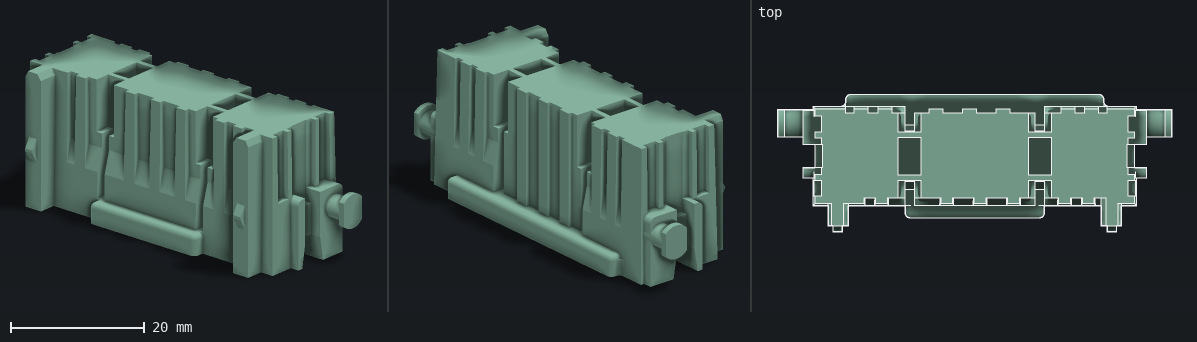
import cadquery as cq

HEIGHT = 22.0
BASE_HALF_X = 24.25
TOP_HALF_X = 23.92
BASE_HALF_Y = 7.46
TOP_HALF_Y = 7.07
CLEAR = 2.0

FRONT_TEETH = (-17.45, -13.95, -4.2, 0.8, 5.8, 13.45, 17.0)
REAR_TEETH = tuple(-centre for centre in reversed(FRONT_TEETH))
TOOTH_BASE_WIDTH = 2.1
FRONT_TOOTH_TOP_WIDTH = 1.77
FRONT_RECESS_Y = 6.28
REAR_RECESS_Y = 6.49
RECESS_RAMP_TOP_Z = 11.25
RECESS_RAMP_FOOT_Z = 7.65
FRONT_RECESS_END_X = 19.7
REAR_RECESS_START_X = -19.35
REAR_RECESS_END_X = 19.8

POCKET_X = 9.77
POCKET_WIDTH = 3.4
POCKET_FLOOR_Z = 13.55
OUTER_POCKET_Y = 3.64
INNER_POCKET_HALF_Y = 2.8
SLOT_OUTER_X = 10.43
SLOT_INNER_X = 9.0
SLOT_STEP_Z = 12.57
SLOT_STEP = 0.12
SLOT_RAMP_HEIGHT = 1.1
FRONT_SLOT_RAMP_RUN = 1.2
REAR_SLOT_RAMP_RUN = 0.9

LIP_TOP_Z = 3.36
LIP_Y = 9.27
LIP_ROUND = 0.8
FRONT_LIP_HALF_X = SLOT_OUTER_X
REAR_LIP_HALF_X = 19.33
REAR_LIP_FLARE = 0.75

RIB_X = 20.44
RIB_WIDTH = 3.02
RIB_Y = 10.42
RIB_OUTER_CHAMFER_X = 0.5
RIB_INNER_CHAMFER_X = 0.7
RIB_CHAMFER_Z = 0.95
NOSE_X = 20.53
NOSE_WIDTH = 1.45
NOSE_BOTTOM_Z = 7.7
NOSE_TOP_Z = 11.5
NOSE_TIP_Z = 9.65
NOSE_TIP_HEIGHT = 0.45
NOSE_Y = 11.35

WING_X = 25.75
WING_TOP_Z = 11.17
WING_ROUND = 0.95
BLOCK_OUTER_Y = 6.87
GUIDE_OUTER_Y = 3.3
NOTCH_HALF_Y = 1.71
NOTCH_X = 22.8
NOTCH_FLOOR_Z = 8.9
END_RECESS_X = 22.96
END_TOOTH_OUTER_Y = 3.64
END_RECESS_BANDS = ((NOTCH_HALF_Y, 2.75), (END_TOOTH_OUTER_Y, 6.0))
PASSAGE_BASE_HALF_Y = 2.36
PASSAGE_ROOF_Z = 2.85
PASSAGE_MOUTH_Z = 3.9
PASSAGE_ROOF_RUN = 0.55

PIN_END_X = 29.5
PIN_Y = 4.91
PIN_Z = 8.05
PIN_HEAD_THICKNESS = 1.0
PIN_HEAD_DIAMETER = 5.5
PIN_WIDTH = 4.1
PIN_NECK_HEIGHT = 3.55


def box(x0, x1, y0, y1, z0, z1):
    """Box between two opposite corners."""
    return cq.Workplane("XY").box(x1 - x0, y1 - y0, z1 - z0, centered=False).translate((x0, y0, z0))


def prism_along_x(points_yz, x0, x1):
    """Straight prism of a YZ outline between two X positions."""
    return cq.Workplane("YZ").workplane(offset=x0).polyline(points_yz).close().extrude(x1 - x0)


def prism_along_y(points_xz, y0, y1):
    """Straight prism of an XZ outline between two Y positions."""
    return cq.Workplane("XZ").workplane(offset=-y1).polyline(points_xz).close().extrude(y1 - y0)


def both_ends(shape):
    """The shape together with its mirror image on the other end of the part."""
    return shape.union(shape.mirror("YZ"))


def both_walls(shape):
    """The shape together with its mirror image on the other long wall."""
    return shape.union(shape.mirror("XZ"))


def housing():
    """Solid block with leaning walls."""
    return (
        cq.Workplane("XY")
        .rect(2 * BASE_HALF_X, 2 * BASE_HALF_Y)
        .workplane(offset=HEIGHT)
        .rect(2 * TOP_HALF_X, 2 * TOP_HALF_Y)
        .loft(ruled=True)
    )


def ramped_recess_profile(side, depth_y):
    """YZ outline of a wall recess: upright floor above a ramp running out to the wall face."""
    foot_share = RECESS_RAMP_FOOT_Z / HEIGHT
    foot_y = BASE_HALF_Y + (TOP_HALF_Y - BASE_HALF_Y) * foot_share
    outside_y = BASE_HALF_Y + CLEAR
    return [
        (side * depth_y, HEIGHT + CLEAR),
        (side * depth_y, RECESS_RAMP_TOP_Z),
        (side * foot_y, RECESS_RAMP_FOOT_Z),
        (side * outside_y, RECESS_RAMP_FOOT_Z),
        (side * outside_y, HEIGHT + CLEAR),
    ]


def front_recesses():
    """Recesses between the front teeth; the teeth get wider towards the bottom."""
    top_half = FRONT_TOOTH_TOP_WIDTH / 2
    base_half = TOOTH_BASE_WIDTH / 2
    profile = ramped_recess_profile(-1, FRONT_RECESS_Y)
    ends = list(FRONT_TEETH[1:]) + [FRONT_RECESS_END_X + base_half]
    recesses = cq.Workplane("XY")
    for left, right in zip(FRONT_TEETH, ends):
        outline = [
            (left + base_half, RECESS_RAMP_FOOT_Z),
            (right - base_half, RECESS_RAMP_FOOT_Z),
            (right - top_half, HEIGHT),
            (left + top_half, HEIGHT),
        ]
        gap = prism_along_y(outline, -BASE_HALF_Y, 0)
        recesses = recesses.union(prism_along_x(profile, left, right).intersect(gap))
    return recesses


def rear_recesses():
    """Recesses between the rear teeth: ramped beside the centre block, full height on it."""
    half = TOOTH_BASE_WIDTH / 2
    profile = ramped_recess_profile(1, REAR_RECESS_Y)
    starts = [REAR_RECESS_START_X] + [centre + half for centre in REAR_TEETH]
    ends = [centre - half for centre in REAR_TEETH] + [REAR_RECESS_END_X]
    recesses = box(-SLOT_OUTER_X, SLOT_OUTER_X, TOP_HALF_Y, BASE_HALF_Y, LIP_TOP_Z, HEIGHT)
    for start, end in zip(starts, ends):
        if start < -SLOT_OUTER_X:
            recesses = recesses.union(prism_along_x(profile, start, min(end, -SLOT_OUTER_X)))
        if end > SLOT_OUTER_X:
            recesses = recesses.union(prism_along_x(profile, max(start, SLOT_OUTER_X), end))
        inner_start = max(start, -SLOT_OUTER_X)
        inner_end = min(end, SLOT_OUTER_X)
        if inner_start < inner_end:
            recesses = recesses.union(
                box(inner_start, inner_end, REAR_RECESS_Y, BASE_HALF_Y, LIP_TOP_Z, HEIGHT)
            )
    return recesses


def slot_profile(ramp_run):
    """YZ outline of a +Y slot: its back steps outward once and ramps out to the lip at the foot."""
    back_y = OUTER_POCKET_Y + SLOT_STEP
    return [
        (OUTER_POCKET_Y, HEIGHT),
        (OUTER_POCKET_Y, SLOT_STEP_Z),
        (back_y, SLOT_STEP_Z - SLOT_STEP),
        (back_y, LIP_TOP_Z + SLOT_RAMP_HEIGHT),
        (back_y + ramp_run, LIP_TOP_Z),
        (BASE_HALF_Y, LIP_TOP_Z),
        (BASE_HALF_Y, HEIGHT),
    ]


def pockets():
    """Two rows of pockets; the outer ones open into a narrow slot reaching down to the lips."""
    x0 = POCKET_X - POCKET_WIDTH / 2
    x1 = POCKET_X + POCKET_WIDTH / 2
    inner = box(x0, x1, -INNER_POCKET_HALF_Y, INNER_POCKET_HALF_Y, POCKET_FLOOR_Z, HEIGHT)
    outer = both_walls(box(x0, x1, OUTER_POCKET_Y, BASE_HALF_Y, POCKET_FLOOR_Z, HEIGHT))
    rear_slot = prism_along_x(slot_profile(REAR_SLOT_RAMP_RUN), SLOT_INNER_X, SLOT_OUTER_X)
    front_slot = prism_along_x(slot_profile(FRONT_SLOT_RAMP_RUN), SLOT_INNER_X, SLOT_OUTER_X)
    return both_ends(inner.union(outer).union(rear_slot).union(front_slot.mirror("XZ")))


def rounded_lip(half_x):
    """Lip on the +Y wall with rounded upper edges and corners."""
    return (
        box(-half_x, half_x, TOP_HALF_Y, LIP_Y, 0, LIP_TOP_Z)
        .edges("(|Z and >Y) or (>Z and (not <Y))")
        .fillet(LIP_ROUND)
    )


def rear_lip_flares():
    """Concave fillets where the ends of the rear lip meet the wall, up to its rounded edge."""
    inner_x = REAR_LIP_HALF_X - LIP_ROUND
    flare_x = REAR_LIP_HALF_X + REAR_LIP_FLARE
    flare_y = BASE_HALF_Y + REAR_LIP_FLARE
    flare = (
        cq.Workplane("XY")
        .moveTo(inner_x, TOP_HALF_Y)
        .lineTo(flare_x, TOP_HALF_Y)
        .lineTo(flare_x, BASE_HALF_Y)
        .radiusArc((REAR_LIP_HALF_X, flare_y), REAR_LIP_FLARE)
        .lineTo(inner_x, flare_y)
        .close()
        .extrude(LIP_TOP_Z - LIP_ROUND)
    )
    return both_ends(flare)


def guide_ribs():
    """Full-height ribs with chamfered top corners and a latch nose on their outer face."""
    half = RIB_WIDTH / 2
    rib_outline = [
        (RIB_X - half, 0),
        (RIB_X + half, 0),
        (RIB_X + half, HEIGHT - RIB_CHAMFER_Z),
        (RIB_X + half - RIB_OUTER_CHAMFER_X, HEIGHT),
        (RIB_X - half + RIB_INNER_CHAMFER_X, HEIGHT),
        (RIB_X - half, HEIGHT - RIB_CHAMFER_Z),
    ]
    rib = prism_along_y(rib_outline, -RIB_Y, -FRONT_RECESS_Y)
    nose_profile = [
        (-RIB_Y, NOSE_BOTTOM_Z),
        (-NOSE_Y, NOSE_TIP_Z - NOSE_TIP_HEIGHT / 2),
        (-NOSE_Y, NOSE_TIP_Z + NOSE_TIP_HEIGHT / 2),
        (-RIB_Y, NOSE_TOP_Z),
    ]
    nose = prism_along_x(nose_profile, NOSE_X - NOSE_WIDTH / 2, NOSE_X + NOSE_WIDTH / 2)
    return both_ends(rib.union(nose))


def end_recesses():
    """Upright grooves in the end walls, with a deeper notch in the middle."""
    cuts = box(NOTCH_X, BASE_HALF_X, -NOTCH_HALF_Y, NOTCH_HALF_Y, NOTCH_FLOOR_Z, HEIGHT)
    for near_y, far_y in END_RECESS_BANDS:
        band = box(END_RECESS_X, BASE_HALF_X, near_y, far_y, WING_TOP_Z, HEIGHT)
        cuts = cuts.union(both_walls(band))
    upright_face = box(TOP_HALF_X, BASE_HALF_X, -NOTCH_HALF_Y, END_TOOTH_OUTER_Y, 0, HEIGHT)
    return both_ends(cuts.union(upright_face))


def end_wings():
    """Blocks beside the notch, each rounded along its outer upper edge."""
    block = (
        box(END_RECESS_X, WING_X, NOTCH_HALF_Y, BLOCK_OUTER_Y, 0, WING_TOP_Z)
        .edges(">Z and >Y")
        .fillet(WING_ROUND)
    )
    guide = (
        box(END_RECESS_X, WING_X, -GUIDE_OUTER_Y, -NOTCH_HALF_Y, 0, WING_TOP_Z)
        .edges(">Z and <Y")
        .fillet(WING_ROUND)
    )
    return both_ends(block.union(guide))


def passage():
    """Tapered passage along the underside with a roof that rises at both mouths."""
    outline_yz = [
        (-PASSAGE_BASE_HALF_Y, 0),
        (PASSAGE_BASE_HALF_Y, 0),
        (NOTCH_HALF_Y, PASSAGE_MOUTH_Z),
        (-NOTCH_HALF_Y, PASSAGE_MOUTH_Z),
    ]
    roof_x = TOP_HALF_X - PASSAGE_ROOF_RUN
    outline_xz = [
        (-WING_X, 0),
        (WING_X, 0),
        (WING_X, PASSAGE_MOUTH_Z),
        (TOP_HALF_X, PASSAGE_MOUTH_Z),
        (roof_x, PASSAGE_ROOF_Z),
        (-roof_x, PASSAGE_ROOF_Z),
        (-TOP_HALF_X, PASSAGE_MOUTH_Z),
        (-WING_X, PASSAGE_MOUTH_Z),
    ]
    full = prism_along_x(outline_yz, -WING_X, WING_X)
    return full.intersect(prism_along_y(outline_xz, -PASSAGE_BASE_HALF_Y, PASSAGE_BASE_HALF_Y))


def pins():
    """Oval necks ending in round heads with two flat sides."""
    axis = cq.Workplane("YZ", origin=(0, PIN_Y, PIN_Z))
    head_x = PIN_END_X - PIN_HEAD_THICKNESS
    neck = axis.workplane(offset=END_RECESS_X).ellipse(PIN_WIDTH / 2, PIN_NECK_HEIGHT / 2)
    neck = neck.extrude(head_x - END_RECESS_X)
    disc = axis.workplane(offset=head_x).circle(PIN_HEAD_DIAMETER / 2).extrude(PIN_HEAD_THICKNESS)
    flats = axis.workplane(offset=head_x).rect(PIN_WIDTH, PIN_HEAD_DIAMETER).extrude(PIN_HEAD_THICKNESS)
    return both_ends(neck.union(disc.intersect(flats)))


front_lip = rounded_lip(FRONT_LIP_HALF_X).mirror("XZ")
rear_lip = rounded_lip(REAR_LIP_HALF_X).union(rear_lip_flares())

result = (
    housing()
    .cut(front_recesses())
    .cut(rear_recesses())
    .cut(pockets())
    .cut(end_recesses())
    .union(front_lip)
    .union(rear_lip)
    .union(guide_ribs())
    .union(end_wings())
    .union(pins())
    .cut(passage())
)